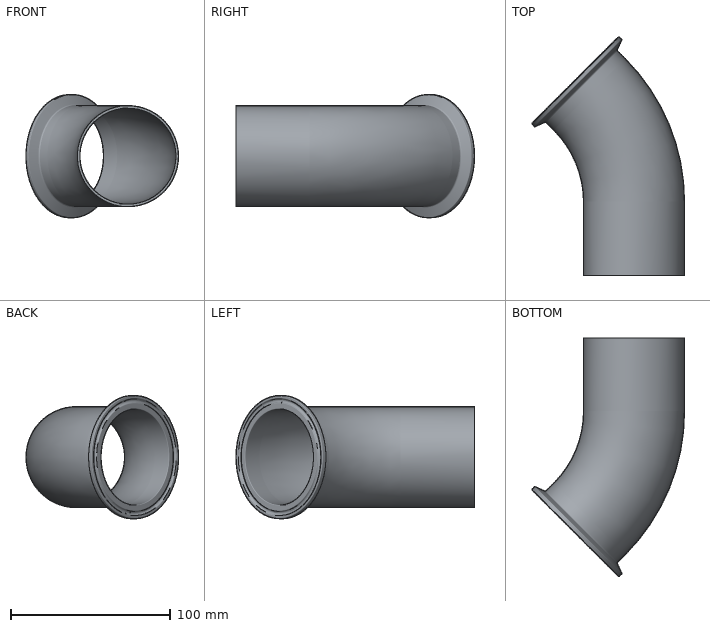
import cadquery as cq
import math

tube_diameter = 63.5
bore_diameter = 60.2
bend_radius = 95.3
bend_angle = 45
overall_length = 149.8

ferrule_length = 12.7
flange_diameter = 77.5
rim_width = 2.8
flange_back_angle = 20
neck_fillet = 0.9
rim_fillet = 0.5
face_edge_fillet = 0.5

groove_center_radius = 35.4
groove_half_width = 1.3
groove_depth = 1.2

match_tolerance = 0.001

tube_radius = tube_diameter / 2
bore_radius = bore_diameter / 2
flange_radius = flange_diameter / 2
bend_sine = math.sin(math.radians(bend_angle))
bend_cosine = math.cos(math.radians(bend_angle))

rim_round_center_y = (ferrule_length - rim_fillet) * bend_cosine + (flange_radius - rim_fillet) * bend_sine
straight_length = overall_length - bend_radius * bend_sine - rim_round_center_y - rim_fillet


def tube_wall_section():
    """Ring-shaped cross-section of the tube, centred where the bend starts."""
    return cq.Workplane("XZ").circle(tube_radius).circle(bore_radius)


def straight_leg():
    """Straight leg running toward -Y from the start of the bend."""
    return tube_wall_section().extrude(straight_length)


def bend():
    """Elbow turning from +Y toward -X about a vertical axis."""
    return tube_wall_section().revolve(bend_angle, (-bend_radius, 0), (-bend_radius, 1))


def round_circle(body, radius, y, fillet):
    """Fillet the circular edge of the given radius whose centre is at y on the Y axis."""

    def is_wanted(edge):
        if edge.geomType() != "CIRCLE":
            return False
        same_radius = math.isclose(edge.radius(), radius, abs_tol=match_tolerance)
        return same_radius and math.isclose(edge.arcCenter().y, y, abs_tol=match_tolerance)

    return body.edges().filter(is_wanted).fillet(fillet)


def ferrule():
    """Clamp ferrule turned about the Y axis, with its weld end at Y = 0."""
    axis_start = (0, 0)
    axis_end = (0, 1)
    rim_back = ferrule_length - rim_width
    cone_height = (flange_radius - tube_radius) * math.tan(math.radians(flange_back_angle))
    groove_inner_radius = groove_center_radius - groove_half_width
    groove_outer_radius = groove_center_radius + groove_half_width
    groove_bottom = (groove_center_radius, ferrule_length - groove_depth)

    profile = (
        cq.Workplane("XY")
        .moveTo(bore_radius, 0)
        .lineTo(tube_radius, 0)
        .lineTo(tube_radius, rim_back - cone_height)
        .lineTo(flange_radius, rim_back)
        .lineTo(flange_radius, ferrule_length)
        .lineTo(groove_outer_radius, ferrule_length)
        .threePointArc(groove_bottom, (groove_inner_radius, ferrule_length))
        .lineTo(bore_radius, ferrule_length)
        .close()
    )
    body = profile.revolve(360, axis_start, axis_end)

    rounded_edges = [
        (tube_radius, rim_back - cone_height, neck_fillet),
        (flange_radius, rim_back, rim_fillet),
        (flange_radius, ferrule_length, rim_fillet),
        (groove_outer_radius, ferrule_length, face_edge_fillet),
        (groove_inner_radius, ferrule_length, face_edge_fillet),
        (bore_radius, ferrule_length, face_edge_fillet),
    ]
    for radius, y, fillet in rounded_edges:
        body = round_circle(body, radius, y, fillet)
    return body


placed_ferrule = ferrule().rotate((-bend_radius, 0, 0), (-bend_radius, 0, 1), bend_angle)
result = straight_leg().union(bend()).union(placed_ferrule)